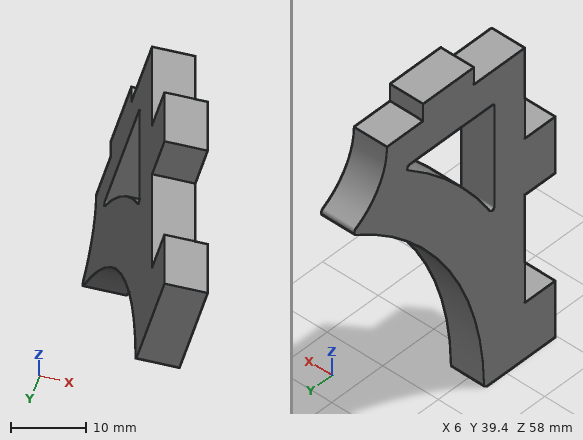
import cadquery as cq
import math

thickness = 6.0
total_height = 58.0
tab_depth = 6.0
tab_length = 10.0
top_tab_height = 3.0
middle_tab_bottom = 29.0
top_tab_back = 15.95
rim_width = 6.0
foot_length = 14.0
brace_radius = 50.0
brace_width = 9.6
nose_radius = 12.0
top_edge_front = 33.0
corner_radius = 0.7
window_radius = 0.45

shelf_height = total_height - top_tab_height
brace_center_y = foot_length + brace_radius
nose_center_y = top_edge_front + nose_radius
window_back = tab_depth + rim_width
window_top = shelf_height - rim_width
window_arc_radius = brace_radius + brace_width


def brace_point(radius, angle):
    """Point on an arc about the brace centre; the angle rises from foot level."""
    return (brace_center_y - radius * math.cos(angle), radius * math.sin(angle))


def nose_tip():
    """Meeting point of the brace arc and the nose scoop, on the side nearer the foot."""
    dy = nose_center_y - brace_center_y
    distance = math.hypot(dy, shelf_height)
    along = (brace_radius**2 - nose_radius**2 + distance**2) / (2 * distance)
    across = math.sqrt(brace_radius**2 - along**2)
    y = brace_center_y + (along * dy - across * shelf_height) / distance
    z = (along * shelf_height + across * dy) / distance
    return (y, z)


def make_body():
    tip_y, tip_z = nose_tip()
    tip_angle = math.asin(tip_z / brace_radius)
    scoop_half_angle = math.asin((shelf_height - tip_z) / nose_radius) / 2
    scoop_middle = (
        nose_center_y - nose_radius * math.cos(scoop_half_angle),
        shelf_height - nose_radius * math.sin(scoop_half_angle),
    )
    body = (
        cq.Workplane("YZ")
        .moveTo(tab_depth, 0)
        .lineTo(foot_length, 0)
        .threePointArc(brace_point(brace_radius, tip_angle / 2), (tip_y, tip_z))
        .threePointArc(scoop_middle, (top_edge_front, shelf_height))
        .lineTo(tab_depth, shelf_height)
        .close()
        .extrude(thickness)
    )
    middle_x = thickness / 2
    for y, z in ((foot_length, 0), (tip_y, tip_z)):
        corner = cq.selectors.NearestToPointSelector((middle_x, y, z))
        body = body.edges(corner).fillet(corner_radius)
    return body


def make_window():
    """Three-sided opening bounded by the frame and an arc concentric with the brace."""
    lower_angle = math.acos((brace_center_y - window_back) / window_arc_radius)
    upper_angle = math.asin(window_top / window_arc_radius)
    return (
        cq.Workplane("YZ")
        .moveTo(window_back, window_top)
        .lineTo(*brace_point(window_arc_radius, lower_angle))
        .threePointArc(
            brace_point(window_arc_radius, (lower_angle + upper_angle) / 2),
            brace_point(window_arc_radius, upper_angle),
        )
        .close()
        .extrude(thickness)
        .edges("|X")
        .fillet(window_radius)
    )


def make_block(y, z, length_y, length_z):
    return cq.Workplane("XY").box(thickness, length_y, length_z, centered=False).translate((0, y, z))


result = make_body().cut(make_window())

for tab_bottom in (0, middle_tab_bottom):
    result = result.union(make_block(0, tab_bottom, tab_depth, tab_length))

result = result.union(make_block(top_tab_back, shelf_height, tab_length, top_tab_height))